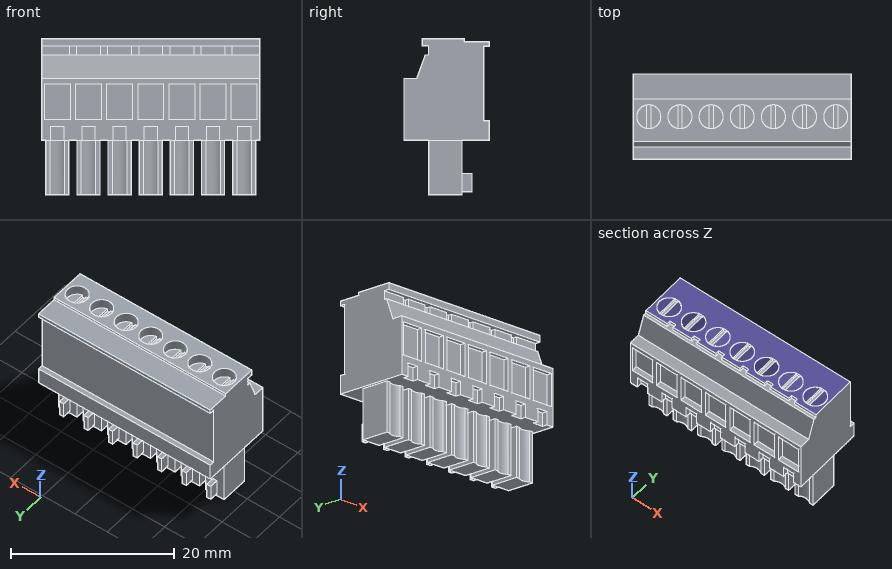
import cadquery as cq

POLES = 7
LENGTH = 26.67
PITCH = LENGTH / POLES
DEPTH = 10.45
HEIGHT = 19.1

HOUSING_BOTTOM = 6.65
SHOULDER_Z = 14.25
SHOULDER_DEPTH = 1.55
LEDGE_Z = 17.1
LEDGE_Y = 2.6
NECK_Y = 3.0
FRONT_LIP_Y = 2.21
FRONT_LIP_Z = 18.22
TOP_STEP_Y = 7.4
BACK_TOP_Z = 18.72
BACK_LIP_Z = 18.14
BACK_WALL_Y = 9.75
BACK_FOOT_Z = 9.07

GAP_WIDTH = 0.88
GAP_DEPTH = 0.53

WINDOW_WIDTH = 3.17
WINDOW_BOTTOM = 9.23
WINDOW_TOP = 13.52
WINDOW_DEPTH = 0.75

NOTCH_WIDTH = 1.6
NOTCH_TOP = 8.37
NOTCH_DEPTH = 0.75

PRONG_WIDTH = 2.85
PRONG_FRONT = 3.01
PRONG_BACK = 7.1
GROOVE_WIDTH = 1.8
GROOVE_DEPTH = 0.32
RIB_WIDTH = 0.65
RIB_BACK = 8.32
RIB_BOTTOM = 0.35
RIB_TOP = 2.61

SCREW_Y = 5.23
SCREW_DIAMETER = 2.93
SCREW_RECESS = 1.47
SCREW_LENGTH = 1.6
SLOT_WIDTH = 0.53
SLOT_DEPTH = 0.4

POLE_X = [(i - (POLES - 1) / 2) * PITCH for i in range(POLES)]
BOUNDARY_X = [x + PITCH / 2 for x in POLE_X[:-1]]
SCREW_TOP = HEIGHT - SCREW_RECESS
SCREW_BOTTOM = SCREW_TOP - SCREW_LENGTH


def block(x_center, width, y_range, z_range):
    """Box centred on x_center and spanning the given Y and Z ranges."""
    y_min, y_max = y_range
    z_min, z_max = z_range
    return (
        cq.Workplane("XY")
        .box(width, y_max - y_min, z_max - z_min, centered=(True, False, False))
        .translate((x_center, y_min, z_min))
    )


def make_shell():
    """Housing profile in the YZ plane, extruded along the row of poles."""
    profile = [
        (0, HOUSING_BOTTOM),
        (0, SHOULDER_Z),
        (SHOULDER_DEPTH, SHOULDER_Z),
        (LEDGE_Y, LEDGE_Z),
        (NECK_Y, LEDGE_Z),
        (NECK_Y, FRONT_LIP_Z),
        (FRONT_LIP_Y, FRONT_LIP_Z),
        (FRONT_LIP_Y, HEIGHT),
        (TOP_STEP_Y, HEIGHT),
        (TOP_STEP_Y, BACK_TOP_Z),
        (DEPTH, BACK_TOP_Z),
        (DEPTH, BACK_LIP_Z),
        (BACK_WALL_Y, BACK_LIP_Z),
        (BACK_WALL_Y, BACK_FOOT_Z),
        (DEPTH, BACK_FOOT_Z),
        (DEPTH, HOUSING_BOTTOM),
    ]
    return cq.Workplane("YZ").polyline(profile).close().extrude(LENGTH / 2, both=True)


def make_prong(x):
    """Prong with a shallow round groove down its front and a short rib on its back."""
    half_width = PRONG_WIDTH / 2
    half_groove = GROOVE_WIDTH / 2
    prong = (
        cq.Workplane("XY")
        .moveTo(-half_width, PRONG_FRONT)
        .lineTo(-half_groove, PRONG_FRONT)
        .threePointArc((0, PRONG_FRONT + GROOVE_DEPTH), (half_groove, PRONG_FRONT))
        .lineTo(half_width, PRONG_FRONT)
        .lineTo(half_width, PRONG_BACK)
        .lineTo(-half_width, PRONG_BACK)
        .close()
        .extrude(HOUSING_BOTTOM)
        .translate((x, 0, 0))
    )
    rib = block(x, RIB_WIDTH, (PRONG_BACK, RIB_BACK), (RIB_BOTTOM, RIB_TOP))
    return prong.union(rib)


def make_screw_hole(x):
    """Blind hole from the top face down to the underside of the screw."""
    return (
        cq.Workplane("XY", origin=(x, SCREW_Y, SCREW_BOTTOM))
        .circle(SCREW_DIAMETER / 2)
        .extrude(HEIGHT - SCREW_BOTTOM)
    )


def make_housing():
    housing = make_shell()
    for x in BOUNDARY_X:
        housing = housing.cut(
            block(x, GAP_WIDTH, (NECK_Y, NECK_Y + GAP_DEPTH), (LEDGE_Z, FRONT_LIP_Z))
        )
    for x in POLE_X:
        window = block(x, WINDOW_WIDTH, (0, WINDOW_DEPTH), (WINDOW_BOTTOM, WINDOW_TOP))
        notch = block(x, NOTCH_WIDTH, (0, NOTCH_DEPTH), (HOUSING_BOTTOM, NOTCH_TOP))
        housing = housing.cut(window).cut(notch).cut(make_screw_hole(x))
        housing = housing.union(make_prong(x))
    return housing


def make_screw(x):
    """Plain cylindrical screw with a driver slot along Y across its top."""
    radius = SCREW_DIAMETER / 2
    screw = (
        cq.Workplane("XY", origin=(x, SCREW_Y, SCREW_BOTTOM))
        .circle(radius)
        .extrude(SCREW_LENGTH)
    )
    slot = block(
        x,
        SLOT_WIDTH,
        (SCREW_Y - radius, SCREW_Y + radius),
        (SCREW_TOP - SLOT_DEPTH, SCREW_TOP),
    )
    return screw.cut(slot)


housing = make_housing()
screws = [make_screw(x) for x in POLE_X]

result = cq.Compound.makeCompound([housing.val(), *[screw.val() for screw in screws]])